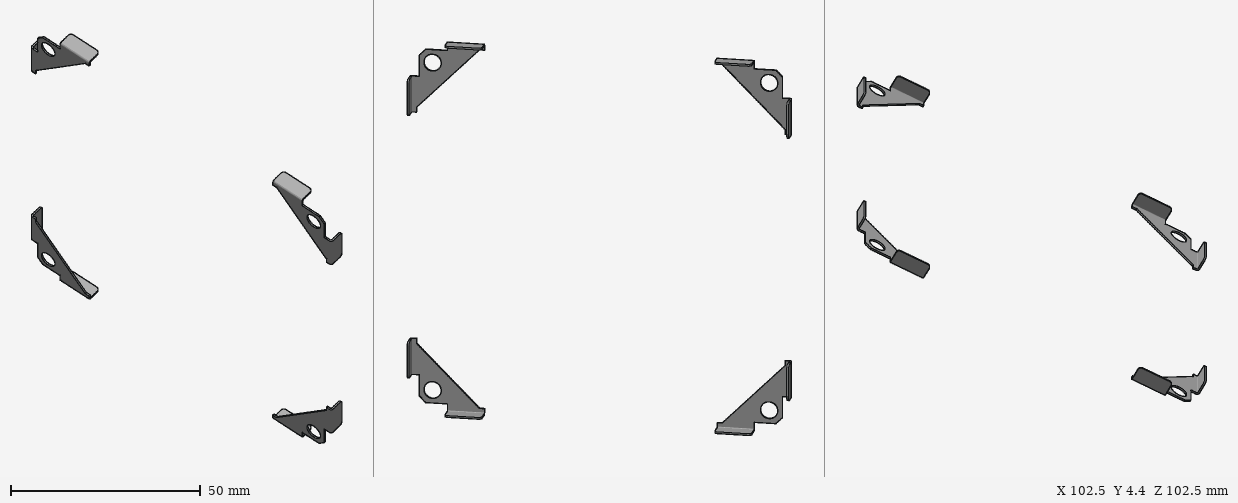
import cadquery as cq
import math

frame_size = 102.5
depth = 4.4
half_frame = frame_size / 2

thickness = 0.5
inner_bend_radius = 0.2
outer_bend_radius = inner_bend_radius + thickness

leg_length = 20.0
tab_length = 9.9
tab_start = leg_length - tab_length
tab_corner_radius = 0.9
notch_depth = 2.5
corner_chamfer = 1.7
leg_end_width = 1.7
leg_end_land = 1.3
diagonal_start = leg_length - leg_end_land
hole_diameter = 4.6
hole_inset = 6.0


def make_plate():
    """Flat corner plate, front face on Y = 0, from bend line to bend line."""
    chamfer_end = notch_depth + corner_chamfer
    upper_half = [
        (chamfer_end, notch_depth),
        (tab_start, notch_depth),
        (tab_start, outer_bend_radius),
        (leg_length, outer_bend_radius),
        (leg_length, leg_end_width),
        (diagonal_start, leg_end_width),
    ]
    lower_half = [(b, a) for a, b in reversed(upper_half)]
    plate = cq.Workplane("XZ").polyline(upper_half + lower_half).close().extrude(-thickness)
    hole = (
        cq.Workplane("XZ")
        .center(hole_inset, hole_inset)
        .circle(hole_diameter / 2)
        .extrude(-thickness)
    )
    return plate.cut(hole)


def make_tab():
    """Tab along Z on the X = 0 side, with the bend that joins it to the plate."""
    cos_45 = math.cos(math.radians(45))
    outer_mid = outer_bend_radius - outer_bend_radius * cos_45
    inner_mid = outer_bend_radius - inner_bend_radius * cos_45
    tab = (
        cq.Workplane("XY", origin=(0, 0, tab_start))
        .moveTo(outer_bend_radius, 0)
        .threePointArc((outer_mid, outer_mid), (0, outer_bend_radius))
        .lineTo(0, depth)
        .lineTo(thickness, depth)
        .lineTo(thickness, outer_bend_radius)
        .threePointArc((inner_mid, inner_mid), (outer_bend_radius, thickness))
        .close()
        .extrude(tab_length)
    )
    return tab.faces(">Y").edges("|X").fillet(tab_corner_radius)


def make_bracket():
    """Bracket with its outer corner at the origin and legs along +X and +Z."""
    side_tab = make_tab()
    quarter_turn = side_tab.rotate((0, 0, 0), (0, 1, 0), 90)
    end_tab = quarter_turn.mirror("XY")
    return make_plate().union(side_tab).union(end_tab)


def place_bracket(mirror_x, mirror_z):
    """Bracket moved to the lower left frame corner, then mirrored to its own."""
    bracket = make_bracket().translate((-half_frame, 0, -half_frame))
    if mirror_x:
        bracket = bracket.mirror("YZ")
    if mirror_z:
        bracket = bracket.mirror("XY")
    return bracket.val()


brackets = []
for mirror_x in (False, True):
    for mirror_z in (False, True):
        brackets.append(place_bracket(mirror_x, mirror_z))

result = cq.Compound.makeCompound(brackets)